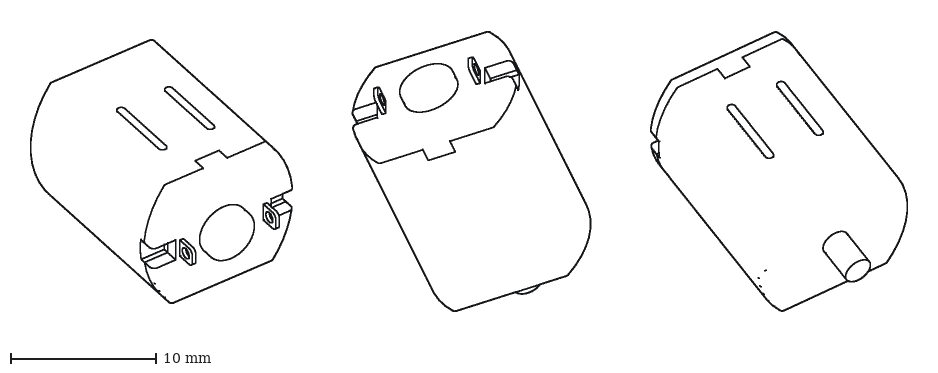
import cadquery as cq
import math


overall_length = 19.5

motor_length = 15.0
motor_width = 12.0
motor_height = 10.0
side_radius = 8.0
long_edge_fillet = 0.2
end_fillet = 0.39

shaft_length = 3.0
shaft_diameter = 2.0

rear_axis_z = -0.2

cap_thickness = 1.0
seam_x = motor_length - cap_thickness
tongue_length = cap_thickness
tongue_width = 2.0
boss_length = 1.0
boss_diameter = 4.0
boss_fillet = 0.2

terminal_length = overall_length - shaft_length - motor_length
terminal_height = 1.4
terminal_thickness = 0.3
terminal_spacing = 7.0
terminal_corner_radius = 0.39
terminal_hole_diameter = 0.82
terminal_hole_offset = 0.7
notch_length = 1.4
notch_height = 1.75
notch_floor_y = 4.0

groove_length = 5.6
groove_width = 0.6
groove_depth = 0.3
groove_floor_fillet = 0.2
groove_spacing = 4.0
groove_center_x = 8.0


def make_motor_envelope():
    """Rounded outer shape that the can and the end cap share."""
    half_width = motor_width / 2
    half_height = motor_height / 2
    side_bulge = side_radius - math.sqrt(side_radius**2 - half_height**2)
    flat_half_width = half_width - side_bulge
    return (
        cq.Workplane("YZ")
        .moveTo(-flat_half_width, half_height)
        .lineTo(flat_half_width, half_height)
        .threePointArc((half_width, 0), (flat_half_width, -half_height))
        .lineTo(-flat_half_width, -half_height)
        .threePointArc((-half_width, 0), (-flat_half_width, half_height))
        .close()
        .extrude(motor_length)
        .edges("|X")
        .fillet(long_edge_fillet)
        .faces("<X or >X")
        .edges()
        .fillet(end_fillet)
    )


def make_cap_region():
    """Block behind the seam, with a full-height tongue that reaches into the can."""
    plate = cq.Workplane("YZ", origin=(seam_x, 0, 0)).rect(motor_width, motor_height).extrude(cap_thickness)
    tongue = (
        cq.Workplane("YZ", origin=(seam_x, 0, 0))
        .rect(tongue_width, motor_height)
        .extrude(-tongue_length)
    )
    return plate.union(tongue)


def make_side_notches():
    """Cutters for the notch in each bulged side, open to the rear face."""
    notch_depth = motor_width / 2 - notch_floor_y
    notch_y = notch_floor_y + notch_depth / 2
    return (
        cq.Workplane("XY")
        .pushPoints([(motor_length - notch_length / 2, side * notch_y) for side in (-1, 1)])
        .box(notch_length, notch_depth, notch_height)
        .translate((0, 0, rear_axis_z))
    )


def make_grooves():
    """Cutters for the two round-ended grooves with rounded floors."""
    top_z = motor_height / 2
    return (
        cq.Workplane("XY", origin=(groove_center_x, 0, top_z))
        .pushPoints([(0, side * groove_spacing / 2) for side in (-1, 1)])
        .slot2D(groove_length, groove_width)
        .extrude(-groove_depth)
        .faces("<Z")
        .edges()
        .fillet(groove_floor_fillet)
    )


def make_boss():
    """Round bearing boss on the rear face of the cap."""
    return (
        cq.Workplane("YZ", origin=(motor_length, 0, rear_axis_z))
        .circle(boss_diameter / 2)
        .extrude(boss_length)
        .faces(">X")
        .edges()
        .fillet(boss_fillet)
    )


def make_terminal(side):
    """Flat pierced lug standing on the rear face; side is -1 or 1 along Y."""
    hole = (
        cq.Workplane("XZ")
        .center(motor_length + terminal_hole_offset, rear_axis_z)
        .circle(terminal_hole_diameter / 2)
        .extrude(terminal_thickness / 2, both=True)
    )
    return (
        cq.Workplane("XY")
        .box(terminal_length, terminal_thickness, terminal_height)
        .edges("|Y and >X")
        .fillet(terminal_corner_radius)
        .translate((motor_length + terminal_length / 2, 0, rear_axis_z))
        .cut(hole)
        .translate((0, side * terminal_spacing / 2, 0))
    )


def make_can(envelope, cap_region):
    return envelope.cut(cap_region).cut(make_grooves())


def make_end_cap(envelope, cap_region):
    cap = envelope.intersect(cap_region).union(make_boss())
    for side in (-1, 1):
        cap = cap.union(make_terminal(side))
    return cap


def make_shaft():
    """Plain round shaft standing on the front face of the can."""
    return cq.Workplane("YZ").circle(shaft_diameter / 2).extrude(-shaft_length)


notched_envelope = make_motor_envelope().cut(make_side_notches())
cap_region = make_cap_region()

can = make_can(notched_envelope, cap_region)
end_cap = make_end_cap(notched_envelope, cap_region)
shaft = make_shaft()

result = cq.Compound.makeCompound([can.val(), end_cap.val(), shaft.val()])